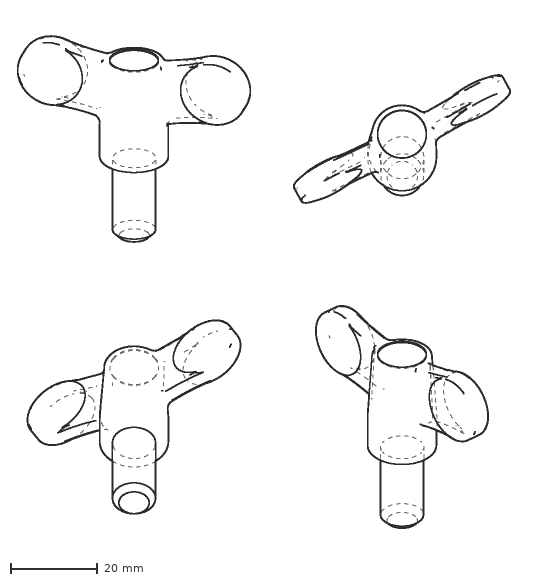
import cadquery as cq
import math

stud_radius = 10.0 / 2
stud_chamfer = 1.5

collar_bottom = 19.95
collar_radius = 16.0 / 2
collar_rounding = 0.5
taper_bottom = 28.5
hub_top = 45.25
hub_top_radius = 6.9
recess_top_radius = 11.3 / 2
recess_floor_radius = 11.25 / 2
recess_depth = 0.3

half_span = 27.5
disc_radius = 16.0 / 2
disc_x = half_span - disc_radius
disc_z = 39.95
web_thickness = 4.2
dome_thickness = 7.0
web_top_radius = 67.05
web_top_end_x = 6.85
web_bottom_radius = 44.0
web_top_tangent_angle = math.radians(17.6)

edge_rounding = 0.5
dome_blend = 2.0
root_fillet = 2.0

pick_margin = 0.55

blank_top = 52.2
hub_slope = (collar_radius - hub_top_radius) / (hub_top - taper_bottom)
blank_top_radius = collar_radius - hub_slope * (blank_top - taper_bottom)

web_top_tangent = (
    disc_x - disc_radius * math.sin(web_top_tangent_angle),
    disc_z + disc_radius * math.cos(web_top_tangent_angle),
)
disc_bottom = (disc_x, disc_z - disc_radius)

web_face = web_thickness / 2
dome_apex = dome_thickness / 2
dome_rise = dome_apex - web_face
dome_radius = (disc_radius**2 + dome_rise**2) / (2 * dome_rise)
dome_centre = dome_apex - dome_radius


def point_on_dome(height_from_centre, radius_from_axis):
    """Point of the dome in the given direction from its sphere centre."""
    scale = dome_radius / math.hypot(height_from_centre, radius_from_axis)
    return (radius_from_axis * scale, dome_centre + height_from_centre * scale)


def turn_about_disc_axis(profile):
    """Revolve a (radius, height) profile about the disc axis, and mirror it to both faces."""
    half = profile.revolve(360, (0, 0, 0), (0, 1, 0))
    return half.union(half.mirror("XZ")).translate((disc_x, 0, disc_z))


def make_core():
    """Stud, collar and over-tall tapered hub as one turned body."""
    profile = (
        cq.Workplane("YZ")
        .lineTo(stud_radius - stud_chamfer, 0)
        .lineTo(stud_radius, stud_chamfer)
        .lineTo(stud_radius, collar_bottom)
        .lineTo(collar_radius - collar_rounding, collar_bottom)
        .radiusArc((collar_radius, collar_bottom + collar_rounding), -collar_rounding)
        .lineTo(collar_radius, taper_bottom)
        .lineTo(blank_top_radius, blank_top)
        .lineTo(0, blank_top)
        .close()
    )
    return profile.revolve(360, (0, 0, 0), (0, 1, 0))


def make_web_blank(thickness):
    """Over-tall +X web from the hub axis to the disc, centred on the XZ plane."""
    arc_centre_z = disc_bottom[1] - web_bottom_radius
    bottom_z_at_axis = arc_centre_z + math.sqrt(web_bottom_radius**2 - disc_x**2)
    outline = (
        cq.Workplane("XZ")
        .moveTo(0, bottom_z_at_axis)
        .radiusArc(disc_bottom, web_bottom_radius)
        .lineTo(*web_top_tangent)
        .lineTo(web_top_tangent[0], blank_top)
        .lineTo(0, blank_top)
        .close()
    )
    return outline.extrude(thickness / 2, both=True)


def make_top_trim():
    """Material above the +X half of the top outline: flat hub top, then the rising web arc."""
    outline = (
        cq.Workplane("XZ")
        .moveTo(0, hub_top)
        .lineTo(web_top_end_x, hub_top)
        .radiusArc(web_top_tangent, -web_top_radius)
        .lineTo(disc_x, web_top_tangent[1])
        .lineTo(disc_x, blank_top + edge_rounding)
        .lineTo(0, blank_top + edge_rounding)
        .close()
    )
    return outline.extrude(2 * collar_radius, both=True)


def make_disc():
    """Domed disc with a rounded rim."""
    rounding_centre_radius = disc_radius - edge_rounding
    rounding_rise = math.sqrt((dome_radius - edge_rounding) ** 2 - rounding_centre_radius**2)
    profile = (
        cq.Workplane("XY")
        .lineTo(disc_radius, 0)
        .lineTo(disc_radius, dome_centre + rounding_rise)
        .radiusArc(point_on_dome(rounding_rise, rounding_centre_radius), -edge_rounding)
        .radiusArc((0, dome_apex), -dome_radius)
        .close()
    )
    return turn_about_disc_axis(profile)


def make_dome_blend(web_blank, top_trim):
    """Concave blend between the domes and the web, kept inside the web's edge rounding."""
    arc_centre_rise = web_face + dome_blend - dome_centre
    arc_centre_radius = math.sqrt((dome_radius + dome_blend) ** 2 - arc_centre_rise**2)
    dome_edge = point_on_dome(arc_centre_rise, arc_centre_radius)
    profile = (
        cq.Workplane("XY")
        .moveTo(dome_edge[0], 0)
        .lineTo(arc_centre_radius, 0)
        .lineTo(arc_centre_radius, web_face)
        .radiusArc(dome_edge, dome_blend)
        .close()
    )
    ring = turn_about_disc_axis(profile)
    ring = ring.intersect(web_blank.translate((0, 0, edge_rounding)))
    return ring.cut(top_trim.translate((0, 0, -edge_rounding)))


def both_sides(body):
    """The +X body together with its mirror image."""
    return body.union(body.mirror("YZ"))


def root_edges(side):
    """Selector for the edges where a web meets the hub; side is +1 or -1 along X."""
    near = (side * recess_top_radius, -web_thickness, taper_bottom + pick_margin)
    far = (side * (collar_radius + pick_margin), web_thickness, blank_top - pick_margin)
    return cq.selectors.BoxSelector(near, far)


def top_rim_edges():
    """Selector for all edges lying on the top outline."""
    return cq.selectors.BoxSelector(
        (-half_span, -collar_radius, hub_top - pick_margin),
        (half_span, collar_radius, disc_z + disc_radius),
    )


web = make_web_blank(web_thickness)
lower_edges = cq.selectors.BoxSelector(
    (pick_margin, -web_thickness, 0),
    (disc_x - pick_margin, web_thickness, disc_bottom[1]),
)
web = web.edges(lower_edges).fillet(edge_rounding)
body = make_core().union(both_sides(web))
body = body.edges(root_edges(1) + root_edges(-1)).fillet(root_fillet)

top_trim = make_top_trim()
body = body.cut(both_sides(top_trim))
body = body.edges(top_rim_edges()).edges("not |Y").fillet(edge_rounding)

blend = make_dome_blend(make_web_blank(2 * dome_thickness), top_trim)
body = body.union(both_sides(make_disc())).union(both_sides(blend))

recess = cq.Workplane(cq.Solid.makeCone(recess_floor_radius, recess_top_radius, recess_depth))
result = body.cut(recess.translate((0, 0, hub_top - recess_depth)))